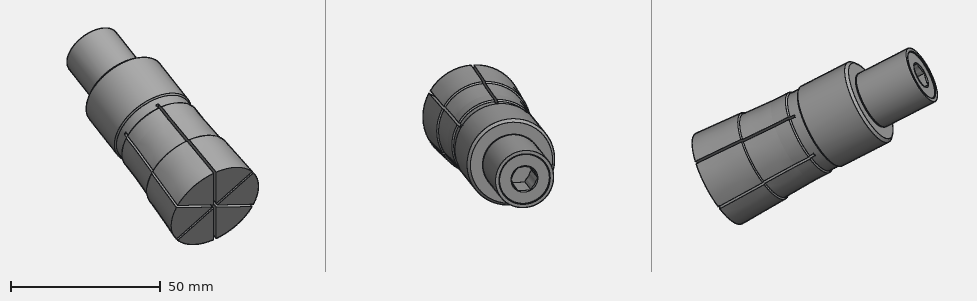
import cadquery as cq
import math

total_length = 79.8
shank_length = 20.0
body_end = 39.9
front_land_start = 43.8
taper_start = 49.9
head_start = 61.9
slot_start = 42.2

shank_diameter = 20.0
body_diameter = 30.0
groove_diameter = 29.0
head_diameter = 34.0
taper_angle = 2.8

shank_edge_length = 0.3
shank_edge_height = 0.1
shank_relief_length = 0.4
shank_relief_depth = 0.2
body_chamfer = 0.95
groove_wall_run = 0.5
head_step_run = 0.4

recess_diameter = 17.55
recess_floor_diameter = 17.0
recess_depth = 0.2

socket_mouth_diameter = 9.2
socket_diameter = 8.3
socket_across_flats = 8.0
socket_mouth_depth = 0.4
socket_depth = 10.0

slot_width = 0.95
finger_count = 6


def turned_blank():
    """Revolve the half outline of the shank, body, groove and tapered head about X."""
    shank_radius = shank_diameter / 2
    body_radius = body_diameter / 2
    groove_radius = groove_diameter / 2
    head_radius = head_diameter / 2
    relief_radius = shank_radius - shank_relief_depth
    slope = math.tan(math.radians(taper_angle))
    head_cone_start = head_start + head_step_run
    taper_end_radius = body_radius + slope * (head_start - taper_start)
    head_start_radius = head_radius - slope * (total_length - head_cone_start)

    outline = [
        (0, 0),
        (0, shank_radius - shank_edge_height),
        (shank_edge_length, shank_radius),
        (shank_length - shank_relief_length, shank_radius),
        (shank_length - shank_relief_length, relief_radius),
        (shank_length, relief_radius),
        (shank_length, body_radius - body_chamfer),
        (shank_length + body_chamfer, body_radius),
        (body_end - groove_wall_run, body_radius),
        (body_end, groove_radius),
        (front_land_start, groove_radius),
        (front_land_start + groove_wall_run, body_radius),
        (taper_start, body_radius),
        (head_start, taper_end_radius),
        (head_cone_start, head_start_radius),
        (total_length, head_radius),
        (total_length, 0),
    ]
    return cq.Workplane("XY").polyline(outline).close().revolve(360, (0, 0, 0), (1, 0, 0))


def tapered_disc(start, start_diameter, end_diameter, length):
    """Return a cone frustum along +X that begins at the given X position."""
    return cq.Workplane(
        cq.Solid.makeCone(
            start_diameter / 2, end_diameter / 2, length, cq.Vector(start, 0, 0), cq.Vector(1, 0, 0)
        )
    )


def end_recess():
    """Shallow round recess with a tapered wall."""
    return tapered_disc(0, recess_diameter, recess_floor_diameter, recess_depth)


def hexagon_socket():
    """Blind bore with six hexagon corners and a chamfered mouth, opening into the recess floor."""
    across_corners = socket_across_flats / math.cos(math.pi / 6)
    floor_plane = cq.Workplane("YZ", origin=(recess_depth, 0, 0))
    hexagon = floor_plane.polygon(6, across_corners).extrude(socket_depth)
    bore = floor_plane.circle(socket_diameter / 2).extrude(socket_depth)
    mouth = tapered_disc(recess_depth, socket_mouth_diameter, socket_diameter, socket_mouth_depth)
    return hexagon.union(bore).union(mouth)


def finger_slots():
    """Slots across the full diameter; each one forms two opposite gaps between fingers."""
    slot_length = total_length - slot_start
    slot_height = 2 * head_diameter
    slots = cq.Workplane("XY")
    for index in range(finger_count // 2):
        slot = cq.Workplane("XY").box(slot_length, slot_width, slot_height)
        slot = slot.translate((slot_start + slot_length / 2, 0, 0))
        slots = slots.add(slot.rotate((0, 0, 0), (1, 0, 0), index * 360 / finger_count))
    return slots.combine()


result = turned_blank().cut(end_recess()).cut(hexagon_socket()).cut(finger_slots())